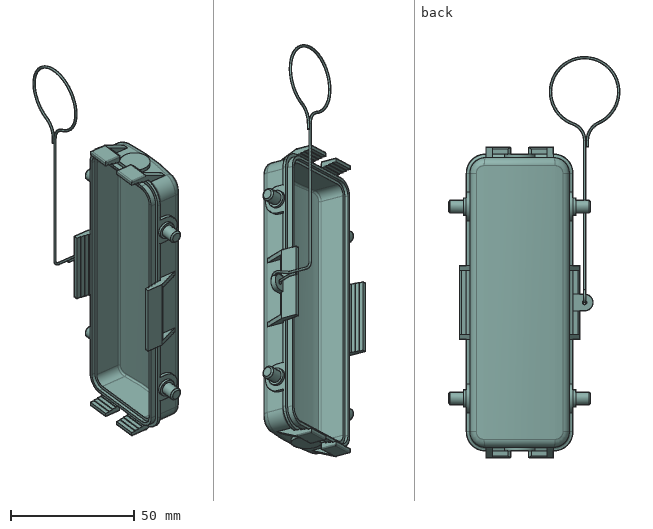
import cadquery as cq
import math


body_half_x = 20.2
body_half_z = 58.8
body_corner = 6.4
body_depth = 17.5
crown_radius = 88.0
crown_round = 3.3
wall = 2.6
floor_round = 0.8

rebate_inset = 1.3
rebate_depth = 1.5

flange_overhang = 1.5
flange_front = 2.3
flange_edge = 1.3
flange_round = 1.3
flange_half_x = body_half_x + flange_overhang
flange_half_z = body_half_z + flange_overhang

root_depth = flange_overhang + wall / 2

peg_y = 6.4
peg_z = 39.0
peg_radius = 2.6
peg_tip_x = 28.8
peg_chamfer = 0.7
boss_radius = 3.6
boss_height = 1.1
pad_radius = 5.9

tongue_tip = -4.9
tongue_back = 3.5
tongue_bend = 2.3
tongue_height = 2.8
tongue_back_height = 2.0
step_count = 4
step_height = 0.3
gusset_start = 12.2
side_tongue_half = 15.0
side_gusset = 2.0
end_tongue_inner = 3.6
end_tongue_outer = 13.7
end_gusset = 2.6
end_tongue_round = 0.5

disc_radius = 6.2
disc_y = 7.3

lug_x = -26.4
lug_radius = 3.5
lug_front = 1.6
lug_thickness = 2.3
lug_hole_radius = 0.8

cord_radius = 0.5
cord_pitch = 1.1
cord_y = -13.2
cord_bend = 2.0
small_loop_radius = 2.3
small_loop_y = 3.1
small_loop_z = 2.6
small_tail_end = -6.4
small_tail_start = -3.0
ring_radius = 13.8
ring_top = 99.8
ring_z = ring_top - cord_radius - ring_radius
neck_z = 65.8
ring_tail_end = 63.2


def rounded_block(inset, front, back):
    """Block with the shell outline moved inwards by inset, from Y = front to Y = back."""
    return (
        cq.Workplane("XZ", origin=(0, front, 0))
        .rect(2 * (body_half_x - inset), 2 * (body_half_z - inset))
        .extrude(front - back)
        .edges("|Y")
        .fillet(body_corner - inset)
    )


def crowned_block(inset, front):
    """Rounded block whose back is part of the crown cylinder, moved inwards by inset."""
    crown = (
        cq.Workplane("XY", origin=(0, body_depth - crown_radius, -body_half_z))
        .circle(crown_radius - inset)
        .extrude(2 * body_half_z)
    )
    return rounded_block(inset, front, body_depth).intersect(crown)


def shell():
    """Crowned shell with a flange that blends into its wall through a concave fillet."""
    flange_back = flange_front + flange_edge
    outer = crowned_block(0, 0).faces(">Y").edges().fillet(crown_round)
    outer = outer.union(rounded_block(-flange_overhang, flange_front, flange_back))
    ledge = outer.faces("+Y").val()
    return outer.newObject(ledge.innerWires()[0].Edges()).fillet(flange_round)


def cavity():
    """Pocket that follows the shell at wall distance, with the rebate at its mouth."""
    pocket = crowned_block(wall, 0).faces(">Y").edges().fillet(floor_round)
    return pocket.union(rounded_block(rebate_inset, 0, rebate_depth))


def tongue_plate(length):
    """Plate along Z on the +X side of X = 0, centred on Z = 0."""
    step_length = (flange_front - tongue_tip) / step_count
    profile = (
        cq.Workplane("XY", origin=(0, 0, -length / 2))
        .moveTo(-flange_overhang, tongue_back)
        .lineTo(tongue_back_height, tongue_back)
        .lineTo(tongue_height, tongue_bend)
        .lineTo(tongue_height, tongue_tip)
    )
    for step in reversed(range(step_count)):
        profile = profile.lineTo(step * step_height, flange_front - (step + 1) * step_length)
        profile = profile.lineTo(step * step_height, flange_front - step * step_length)
    return profile.lineTo(-flange_overhang, flange_front).close().extrude(length)


def gusset(width):
    """Triangular rib from the shell wall to the back of a tongue, centred on Z = 0."""
    return (
        cq.Workplane("XY", origin=(0, 0, -width / 2))
        .polyline([
            (-root_depth, gusset_start),
            (-flange_overhang, gusset_start),
            (tongue_height, tongue_bend),
            (-root_depth, tongue_bend),
        ])
        .close()
        .extrude(width)
    )


def side_tongue():
    """Long tongue on the +X side with a gusset at each end."""
    tongue = tongue_plate(2 * side_tongue_half)
    gusset_middle = side_tongue_half - side_gusset / 2
    for side in (-1, 1):
        tongue = tongue.union(gusset(side_gusset).translate((0, 0, side * gusset_middle)))
    return tongue.translate((flange_half_x, 0, 0))


def end_tongues():
    """Pair of tongues and the round pad on the +Z side."""
    plate = tongue_plate(end_tongue_outer - end_tongue_inner)
    plate = plate.faces(">X").edges("|Y or <Y").fillet(end_tongue_round)
    pair = cq.Workplane("XY")
    plate_middle = (end_tongue_inner + end_tongue_outer) / 2
    gusset_middle = end_tongue_outer - end_gusset / 2
    for side in (-1, 1):
        pair = pair.union(plate.translate((0, 0, side * plate_middle)))
        pair = pair.union(gusset(end_gusset).translate((0, 0, side * gusset_middle)))
    pair = pair.rotate((0, 0, 0), (0, 1, 0), -90).translate((0, 0, flange_half_z))
    disc_plane = cq.Workplane("XY", origin=(0, disc_y, flange_half_z))
    clearance = disc_plane.circle(disc_radius).extrude(2 * tongue_height)
    disc = disc_plane.circle(disc_radius).extrude(-root_depth)
    front_trim = cq.Workplane("XY", origin=(0, flange_front - disc_radius, flange_half_z)).box(
        2 * disc_radius, 2 * disc_radius, 2 * root_depth
    )
    return pair.cut(clearance).union(disc.cut(front_trim))


def peg(z):
    """Peg on the +X side with its collar and a D-shaped pad that reaches the flange face."""
    plane = cq.Workplane("YZ", origin=(flange_half_x, peg_y, z))
    pad = (
        plane.moveTo(flange_front - peg_y, -pad_radius)
        .lineTo(0, -pad_radius)
        .threePointArc((pad_radius, 0), (0, pad_radius))
        .lineTo(flange_front - peg_y, pad_radius)
        .close()
        .extrude(-root_depth)
    )
    collar = plane.circle(boss_radius).extrude(boss_height)
    pin = plane.circle(peg_radius).extrude(peg_tip_x - flange_half_x).faces(">X").chamfer(peg_chamfer)
    return pad.union(collar).union(pin)


def lug():
    """Rounded lug on the -X side with a hole for the cord."""
    reach = -flange_half_x - lug_x
    plane = cq.Workplane("XZ", origin=(lug_x, lug_front, 0))
    return (
        plane.circle(lug_radius)
        .extrude(-lug_thickness)
        .union(plane.center(reach / 2, 0).rect(reach, 2 * lug_radius).extrude(-lug_thickness))
        .cut(plane.circle(lug_hole_radius).extrude(-lug_thickness))
    )


def small_loop():
    """Tail, loop through the lug, run to the front and bend towards +Z, in the plane X = lug_x."""
    upper_z = small_loop_z + cord_pitch / 2
    lower_z = small_loop_z - cord_pitch / 2
    reach = small_loop_y - small_tail_start
    rise = cord_pitch / 2
    touch = math.pi - math.atan2(rise, reach) - math.acos(small_loop_radius / math.hypot(reach, rise))
    touch_y = small_loop_y + small_loop_radius * math.cos(touch)
    touch_rise = small_loop_radius * math.sin(touch)
    bend_mid = cord_bend * (1 - math.sqrt(0.5))
    return (
        cq.Workplane("YZ", origin=(lug_x, 0, 0))
        .moveTo(small_tail_end, lower_z)
        .lineTo(small_tail_start, lower_z)
        .lineTo(touch_y, small_loop_z - touch_rise)
        .threePointArc((small_loop_y + small_loop_radius, small_loop_z), (touch_y, small_loop_z + touch_rise))
        .lineTo(small_tail_start, upper_z)
        .lineTo(cord_y + cord_bend, upper_z)
        .threePointArc((cord_y + bend_mid, upper_z + bend_mid), (cord_y, upper_z + cord_bend))
        .lineTo(cord_y, neck_z)
    )


def neck(offset):
    """Touch point and middle point of an arc that leaves a vertical run and meets the ring.

    The run stands beside the ring centre by offset, against the side the arc turns to.
    """
    drop = ring_z - neck_z
    radius = (drop**2 + offset**2 - ring_radius**2) / (2 * (ring_radius - offset))
    side = offset + radius
    share = ring_radius / (ring_radius + radius)
    half_turn = math.atan2(drop, side) / 2
    touch = (side * share, ring_z - drop * share)
    middle = (side - radius * math.cos(half_turn), neck_z + radius * math.sin(half_turn))
    return touch, middle


def ring():
    """Large ring at the end of the cord, closed by a tail beside the straight run."""
    right_touch, right_middle = neck(0)
    left_touch, left_middle = neck(cord_pitch)
    return (
        cq.Workplane("XZ", origin=(lug_x, cord_y, 0))
        .moveTo(0, neck_z)
        .threePointArc(right_middle, right_touch)
        .threePointArc((0, ring_z + ring_radius), (-left_touch[0], left_touch[1]))
        .threePointArc((-left_middle[0], left_middle[1]), (-cord_pitch, neck_z))
        .lineTo(-cord_pitch, ring_tail_end)
    )


def cord():
    """Small loop with its straight run, joined to the large ring."""
    loop_start = cq.Workplane("XZ", origin=(lug_x, small_tail_end, small_loop_z - cord_pitch / 2))
    ring_start = cq.Workplane("XY", origin=(lug_x, cord_y, neck_z))
    loop = loop_start.circle(cord_radius).sweep(small_loop(), transition="round")
    return loop.union(ring_start.circle(cord_radius).sweep(ring()))


cover = shell()
side_parts = side_tongue().union(peg(peg_z)).union(peg(-peg_z))
end_parts = end_tongues()
cover = cover.union(side_parts).union(side_parts.mirror("YZ"))
cover = cover.union(end_parts).union(end_parts.mirror("XY"))
cover = cover.cut(cavity())
result = cover.union(lug()).union(cord())